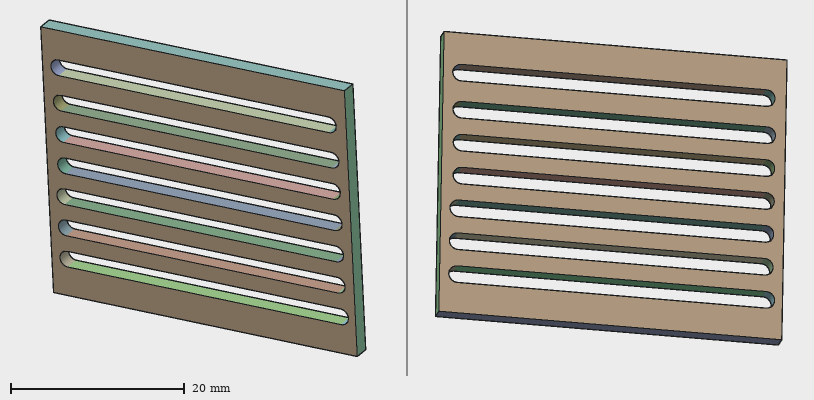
import cadquery as cq
import math

plate_width = 40.33
plate_thickness = 2.0
overall_height = 34.08
lean_angle = 5.0

lean = math.radians(lean_angle)
plate_length = (overall_height - plate_thickness * math.sin(lean)) / math.cos(lean)

slot_height = 2.0
slot_pitch = 4.0
top_slot_extra_gap = 0.5
bottom_slot_center = 4.7

slot_margins = [
    (1.1, 0.95),
    (1.1, 1.2),
    (1.1, 1.2),
    (1.4, 1.2),
    (1.34, 1.22),
    (1.24, 1.21),
    (1.13, 1.35),
]


def make_plate():
    """Upright plate, centred on the origin."""
    return cq.Workplane("XY").box(plate_width, plate_thickness, plate_length)


def make_slot(left_margin, right_margin, height):
    """Round-ended cutter through the plate, centred at a height above the lower edge."""
    length = plate_width - left_margin - right_margin
    center_x = (left_margin - right_margin) / 2
    center_z = height - plate_length / 2
    return (
        cq.Workplane("XZ")
        .center(center_x, center_z)
        .slot2D(length, slot_height)
        .extrude(plate_thickness, both=True)
    )


def cut_slots(plate):
    """Cut the slots at an even pitch, with the top one set slightly higher."""
    top_index = len(slot_margins) - 1
    for index, (left_margin, right_margin) in enumerate(slot_margins):
        height = bottom_slot_center + index * slot_pitch
        if index == top_index:
            height += top_slot_extra_gap
        plate = plate.cut(make_slot(left_margin, right_margin, height))
    return plate


result = cut_slots(make_plate()).rotate((0, 0, 0), (1, 0, 0), lean_angle)